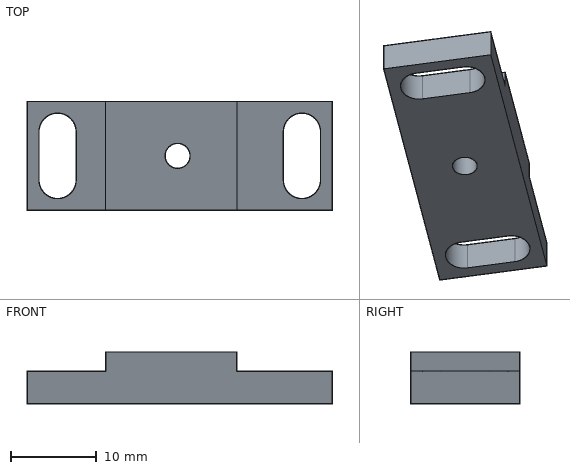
import cadquery as cq

length = 35.55
width = 12.7
height = 6.05
base_height = 3.8

pad_start = 9.15
pad_length = 15.3

hole_diameter = 2.88
hole_x = 17.53
slot_width = 4.3
slot_length = 9.92
slot_inset = 3.55
mid_y = width / 2


def block(start_x, size_x, size_z):
    """Full-width block standing on the underside plane."""
    return cq.Workplane("XY").box(size_x, width, size_z, centered=False).translate((start_x, 0, 0))


def mounting_slot(center_x):
    """Cutter for a slot running along Y."""
    return (
        cq.Workplane("XY")
        .center(center_x, mid_y)
        .slot2D(slot_length, slot_width, angle=90)
        .extrude(height)
    )


body = block(0, length, base_height).union(block(pad_start, pad_length, height))

for slot_x in (slot_inset, length - slot_inset):
    body = body.cut(mounting_slot(slot_x))

center_hole = cq.Workplane("XY").center(hole_x, mid_y).circle(hole_diameter / 2).extrude(height)
result = body.cut(center_hole)